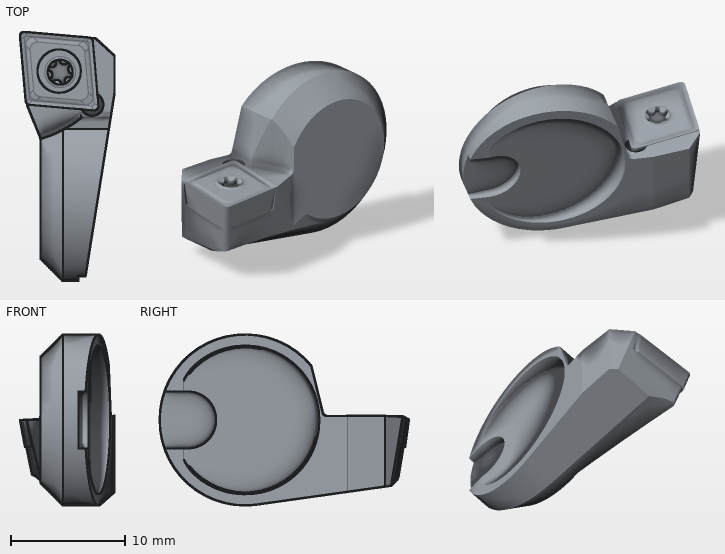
import cadquery as cq
import math

head_radius = 7.5
head_chamfer = 1.99
back_lean = 9.0
back_x_on_axis = 5.1
far = 43.7

bore_radius = 6.51
bore_floor_x = 4.24
bore_corner_radius = 0.15
slot_floor_x = 3.36
slot_width = 4.98
slot_end_y = -5.03
plug_radius = 4.5
plug_depth = head_chamfer

arm_back_x = 6.51
flank_setback = 0.09
end_setback = 0.07
flank_clearance = 10.5
end_clearance = 8.5
nose_radius = 0.4
neck_start_y = 5.07
neck_angle = 22.3
neck_radius = 0.65
neck_reach = 6.55
corner_reach = 4.37
back_corner_y = 12.25
back_corner_angle = 42.5
underside_angle = 8.0
underside_end_y = 12.78
underside_edge_slope = 17.0
bevel_overrun = 1.1
bevel_reach = 5.46
arm_bottom = -7.87
arm_top = 2.62

insert_inradius = 3.17
insert_thickness = 2.38
insert_angle = 80.0
insert_turn = 5.0
insert_relief = 7.0
insert_x_min = -1.8
insert_y_max = 14.35
rake = 3.0
groove_depth = 0.1
groove_land = 0.37
groove_floor = 0.05
groove_width = 0.79
plateau_radius = 0.65

seat_drop = 0.07
wall_foot_y = 6.97
wall_lean = 13.7
wall_foot_radius = 0.44
wall_height = 13.1
hollow_start = (-0.33, 4.87)
hollow_middle = (1.97, 5.75)
hollow_end = (3.63, 6.84)
hollow_x_min = -8.75
relief_x = 4.55
relief_y = 7.98
relief_radius = 0.98

screw_head_radius = 1.9
screw_head_depth = 1.1
shank_radius = 1.25
shank_length = 3.93
boss_radius = 1.35
boss_height = 0.13
boss_shift = 0.09
socket_radius = 1.1
socket_core_radius = 0.72
socket_rib_radius = 0.37
socket_depth = 0.65
socket_cone_depth = 0.26
socket_ribs = 6
socket_turn = 13.0


def tan(degrees):
    return math.tan(math.radians(degrees))


def sin(degrees):
    return math.sin(math.radians(degrees))


def cos(degrees):
    return math.cos(math.radians(degrees))


nose_to_center = (insert_inradius - nose_radius) / sin(insert_angle / 2) / math.sqrt(2)
insert_x = insert_x_min + nose_radius + nose_to_center
insert_y = insert_y_max - nose_radius - nose_to_center
insert_plane = cq.Plane(
    origin=(insert_x, insert_y, (insert_x - insert_x_min) * tan(rake)),
    xDir=(cos(rake), 0, sin(rake)),
    normal=(-sin(rake), 0, cos(rake)),
)

tangent_y = head_radius * sin(underside_angle)
tangent_z = -head_radius * cos(underside_angle)


def underside_z(y):
    return tangent_z + (y - tangent_y) * tan(underside_angle)


def rhombus(height, inradius, corner_radius):
    """Closed rounded rhombus outline at a height above the insert plane."""
    half_diagonal_acute = inradius / sin(insert_angle / 2)
    half_diagonal_obtuse = inradius / cos(insert_angle / 2)
    outline = (
        cq.Workplane(insert_plane.rotated((0, 0, -insert_turn - insert_angle / 2)))
        .workplane(offset=height)
        .polyline([
            (half_diagonal_acute, 0),
            (0, half_diagonal_obtuse),
            (-half_diagonal_acute, 0),
            (0, -half_diagonal_obtuse),
        ])
        .close()
        .val()
    )
    return outline.fillet2D(corner_radius, outline.Vertices())


def rhombus_loft(low, high):
    """Solid between two rhombus outlines, each given as (height, inradius, corner radius)."""
    return cq.Workplane(cq.Solid.makeLoft([rhombus(*low), rhombus(*high)], True))


def make_screw():
    """Countersunk screw, still without its boss and socket."""
    profile = [
        (0, 0),
        (screw_head_radius, 0),
        (shank_radius, -screw_head_depth),
        (shank_radius, -shank_length),
        (0, -shank_length),
    ]
    section = cq.Workplane(cq.Plane(insert_plane.origin, insert_plane.xDir, -insert_plane.yDir))
    return section.polyline(profile).close().revolve(360, (0, 0), (0, 1))


def add_socket(screw):
    """Flared boss on the screw head with a six-ribbed socket in it."""
    top = insert_plane.toWorldCoords((boss_shift, -boss_shift, boss_height))
    axis = insert_plane.zDir
    boss_width = boss_radius - socket_radius
    flare_radius = (boss_width**2 + boss_height**2) / (2 * boss_height)
    boss = (
        cq.Workplane(cq.Plane(top, insert_plane.xDir, -insert_plane.yDir))
        .lineTo(0, -boss_height)
        .lineTo(boss_radius, -boss_height)
        .radiusArc((socket_radius, 0), flare_radius)
        .close()
        .revolve(360, (0, 0), (0, 1))
    )
    plane = cq.Plane(top, insert_plane.xDir, axis)
    lobes = cq.Workplane(plane).circle(socket_radius).extrude(-socket_depth)
    ribs = (
        cq.Workplane(plane)
        .polarArray(socket_core_radius + socket_rib_radius, socket_turn, 360, socket_ribs)
        .circle(socket_rib_radius)
        .extrude(-socket_depth)
    )
    entry = cq.Solid.makeCone(socket_radius, socket_core_radius, socket_cone_depth, top, -axis)
    return screw.union(boss).cut(lobes.cut(ribs)).cut(cq.Workplane(entry))


def insert_blank():
    base_inradius = insert_inradius - insert_thickness * tan(insert_relief)
    return rhombus_loft(
        (-insert_thickness, base_inradius, nose_radius),
        (0, insert_inradius, nose_radius),
    )


def make_insert(screw_shape):
    """Insert with a groove around its central plateau and a hole for the screw."""
    groove = rhombus_loft(
        (-groove_depth, insert_inradius - groove_land, nose_radius / 2),
        (0, insert_inradius, nose_radius),
    )
    plateau = rhombus_loft(
        (-groove_depth, insert_inradius - groove_land - groove_floor, plateau_radius),
        (0, insert_inradius - groove_width, plateau_radius),
    )
    return insert_blank().cut(groove.cut(plateau)).cut(screw_shape)


def round_head():
    return cq.Workplane("YZ").circle(head_radius).extrude(far / 4).faces("<X").chamfer(head_chamfer)


def cut_side(block, outward_angle, setback, clearance):
    """Trim the block by a plane under one insert edge, leaning inwards towards the bottom."""
    distance = insert_inradius - setback
    out_x = cos(outward_angle)
    out_y = sin(outward_angle)
    plane = cq.Plane(
        origin=(insert_x + distance * out_x, insert_y + distance * out_y, 0),
        xDir=(-out_y, out_x, 0),
        normal=(out_x * cos(clearance), out_y * cos(clearance), -sin(clearance)),
    )
    return block.cut(cq.Workplane(plane).rect(far, far).extrude(far))


def arm():
    """Arm block: upright faces first, then the leaning flank and end, then the sloping underside."""
    corner_end_y = back_corner_y + corner_reach * tan(back_corner_angle)
    neck_end_x = -neck_reach * tan(neck_angle)
    outline = [
        (0, 0),
        (arm_back_x, 0),
        (arm_back_x, back_corner_y),
        (arm_back_x - corner_reach, corner_end_y),
        (neck_end_x, corner_end_y),
        (neck_end_x, neck_start_y + neck_reach),
        (0, neck_start_y),
    ]
    block = (
        cq.Workplane("XY", origin=(0, 0, arm_bottom))
        .polyline(outline)
        .close()
        .extrude(arm_top - arm_bottom)
    )
    neck_edge = cq.selectors.BoxSelector((-0.22, neck_start_y - 0.22, -far), (0.22, neck_start_y + 0.22, far))
    block = block.edges(neck_edge).fillet(neck_radius)
    block = cut_side(block, 180 + insert_turn, flank_setback, flank_clearance)
    block = cut_side(block, 90 - insert_turn, end_setback, end_clearance)
    nose_edge = cq.selectors.NearestToPointSelector(
        (insert_x_min + 0.65, insert_y_max - 0.22, (arm_bottom + arm_top) / 2)
    )
    block = block.edges(nose_edge).fillet(nose_radius)
    end_z = underside_z(underside_end_y)
    side = [
        (tangent_y, arm_top),
        (tangent_y, tangent_z),
        (underside_end_y, end_z),
        (underside_end_y + arm_top - end_z, arm_top),
    ]
    return block.intersect(cq.Workplane("YZ").polyline(side).close().extrude(far, both=True))


def bevel_section(y, z, slope):
    points = [
        (head_chamfer, y, z),
        (head_chamfer - bevel_reach, y, z + bevel_reach * tan(slope)),
        (head_chamfer - bevel_reach, y, z - bevel_reach),
        (head_chamfer, y, z - bevel_reach),
    ]
    return cq.Wire.makePolygon([cq.Vector(*p) for p in points], close=True)


def underside_bevel():
    """Twisted bevel that carries the head chamfer along the underside of the arm."""
    end_y = underside_end_y + bevel_overrun
    start = bevel_section(tangent_y, tangent_z, 45)
    end = bevel_section(end_y, underside_z(end_y), underside_edge_slope)
    return cq.Workplane(cq.Solid.makeLoft([start, end], True))


def back_trim():
    foot = back_x_on_axis - far * tan(back_lean)
    head = back_x_on_axis + far * tan(back_lean)
    outline = [(foot, -far), (far, -far), (far, far), (head, far)]
    return cq.Workplane("XY").polyline(outline).close().extrude(far, both=True)


def seat_clearance():
    """Space above the seat, bounded by a leaning wall and a hollow upright wall."""
    lean_shift = wall_height * tan(wall_lean)
    lean = [
        (wall_foot_y + lean_shift, -wall_height),
        (far, -wall_height),
        (far, wall_height),
        (wall_foot_y - lean_shift, wall_height),
    ]
    leaning = cq.Workplane("YZ").polyline(lean).close().extrude(far, both=True)
    hollow = (
        cq.Workplane("XY", origin=(0, 0, -wall_height))
        .moveTo(hollow_x_min, hollow_start[1])
        .lineTo(*hollow_start)
        .threePointArc(hollow_middle, hollow_end)
        .lineTo(hollow_end[0], far)
        .lineTo(hollow_x_min, far)
        .close()
        .extrude(2 * wall_height)
    )
    seat_origin = insert_plane.origin - insert_plane.zDir * seat_drop
    seat = cq.Plane(seat_origin, insert_plane.xDir, insert_plane.zDir)
    above_seat = cq.Workplane(seat).rect(2 * far, 2 * far).extrude(2 * far)
    leaning_foot = cq.selectors.NearestToPointSelector((0, wall_foot_y, 0))
    hollow_foot = cq.selectors.NearestToPointSelector((*hollow_middle, 0))
    leaning = leaning.intersect(above_seat).edges(leaning_foot).fillet(wall_foot_radius)
    hollow = hollow.intersect(above_seat).edges(hollow_foot).fillet(wall_foot_radius)
    return leaning.union(hollow)


def pocket():
    """Straight-walled pocket that takes the insert."""
    return rhombus_loft(
        (-insert_thickness, insert_inradius, nose_radius),
        (0, insert_inradius, nose_radius),
    )


def corner_relief():
    """Round relief at the inner corner of the pocket."""
    pocket_floor = insert_plane.toWorldCoords((0, 0, -insert_thickness)).z
    return (
        cq.Workplane("XY", origin=(relief_x, relief_y, pocket_floor))
        .circle(relief_radius)
        .extrude(far)
    )


def bore():
    hole = cq.Workplane("YZ", origin=(bore_floor_x, 0, 0)).circle(bore_radius).extrude(far)
    return hole.faces("<X").edges().fillet(bore_corner_radius)


def slot():
    half = slot_width / 2
    return (
        cq.Workplane("YZ", origin=(slot_floor_x, 0, 0))
        .moveTo(-far, -half)
        .lineTo(slot_end_y, -half)
        .threePointArc((slot_end_y + half, 0), (slot_end_y, half))
        .lineTo(-far, half)
        .close()
        .extrude(far)
    )


def make_holder(plug_shape, screw_shape):
    body = round_head().union(arm().cut(underside_bevel()))
    body = body.cut(back_trim())
    body = body.cut(seat_clearance())
    body = body.cut(bore()).cut(slot())
    body = body.cut(corner_relief()).cut(pocket())
    return body.cut(plug_shape).cut(screw_shape)


def make_plug():
    return cq.Workplane("YZ").circle(plug_radius).extrude(plug_depth)


plug = make_plug()
plain_screw = make_screw()
screw = add_socket(plain_screw)
insert = make_insert(plain_screw)
holder = make_holder(plug, plain_screw)

result = cq.Compound.makeCompound([holder.val(), insert.val(), screw.val(), plug.val()])